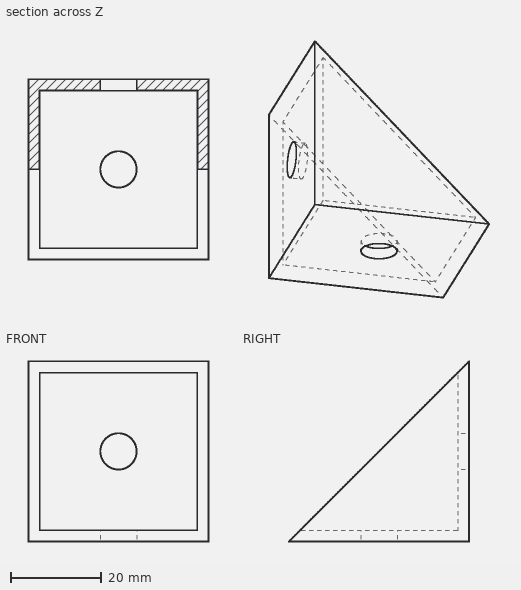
import cadquery as cq

side = 40.0
wall = 2.5
hole_diameter = 8.0


def triangular_prism(leg, width):
    """Right-angled prism along X, with its corner edge at the bottom back."""
    return (
        cq.Workplane("YZ")
        .moveTo(side - leg, 0)
        .lineTo(side, 0)
        .lineTo(side, leg)
        .close()
        .extrude(width)
    )


body = triangular_prism(side, side)

cavity = triangular_prism(side, side - 2 * wall).translate((wall, -wall, wall))

floor_hole = (
    cq.Workplane("XY")
    .center(side / 2, side / 2)
    .circle(hole_diameter / 2)
    .extrude(wall)
)
back_hole = (
    cq.Workplane("XZ", origin=(0, side, 0))
    .center(side / 2, side / 2)
    .circle(hole_diameter / 2)
    .extrude(wall)
)

result = body.cut(cavity).cut(floor_hole).cut(back_hole)